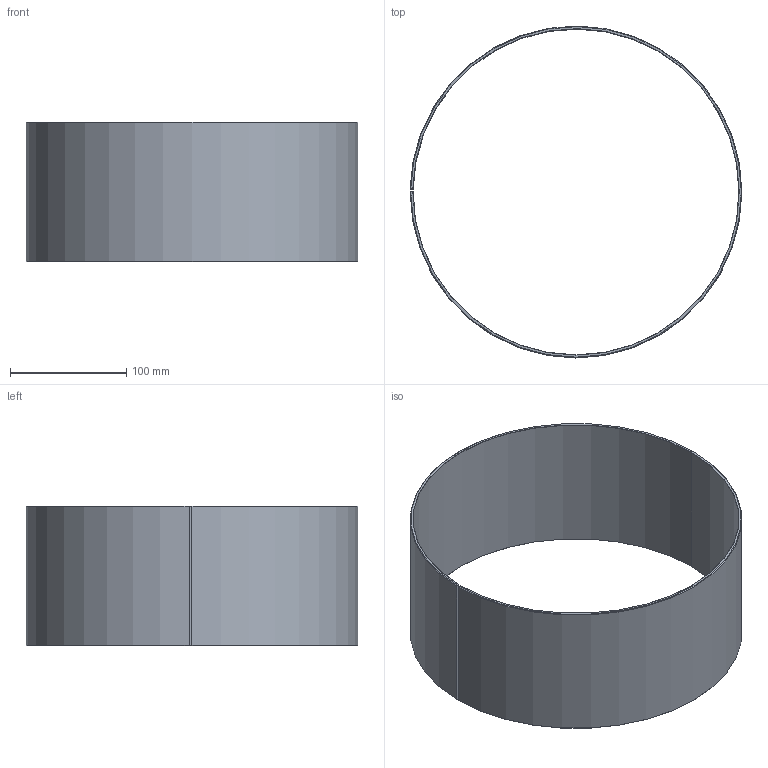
import cadquery as cq

outer_diameter = 285.0
wall_thickness = 2.5
height = 120.0
outer_chamfer = 0.5
inner_chamfer = 0.2
gap_width = 2.5

outer_radius = outer_diameter / 2
inner_radius = outer_radius - wall_thickness


def make_band():
    """Closed band standing on the XY plane, chamfered on its outer and inner rims."""
    wall_section = (
        cq.Workplane("XZ")
        .moveTo(outer_radius, outer_chamfer)
        .lineTo(outer_radius, height - outer_chamfer)
        .lineTo(outer_radius - outer_chamfer, height)
        .lineTo(inner_radius + inner_chamfer, height)
        .lineTo(inner_radius, height - inner_chamfer)
        .lineTo(inner_radius, inner_chamfer)
        .lineTo(inner_radius + inner_chamfer, 0)
        .lineTo(outer_radius - outer_chamfer, 0)
        .close()
    )
    return wall_section.revolve(360, (0, 0, 0), (0, 1, 0))


def make_gap_cutter():
    """Block from the Z axis out to the -X wall, with one long side on the XZ plane."""
    return (
        cq.Workplane("XY")
        .center(-outer_radius / 2, gap_width / 2)
        .rect(outer_radius, gap_width)
        .extrude(height)
    )


result = make_band().cut(make_gap_cutter())